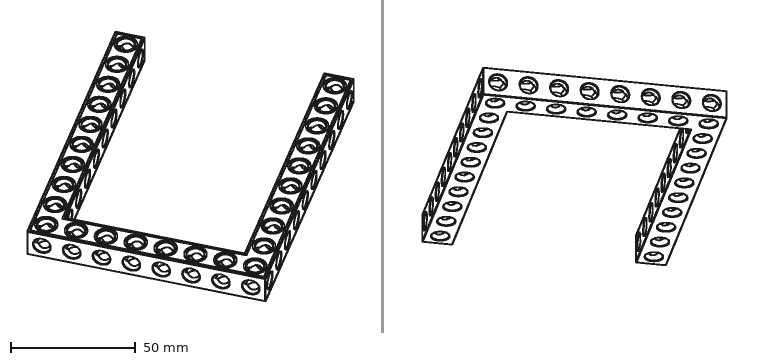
import cadquery as cq

pitch = 12.5
columns = 8
rows = 10
width = columns * pitch
length = rows * pitch
height = pitch
half_pitch = pitch / 2

edge_chamfer = 0.3

hole_diameter = 7.0
mouth_bevel = 0.3
x_axis = (1, 0, 0)
y_axis = (0, 1, 0)
z_axis = (0, 0, 1)

border_width = 1.1
ring_diameter = 9.2
recess_depth = 0.2


def grid_center(index):
    """Coordinate of the hole centre in a grid cell, from the outer corner."""
    return (index + 0.5) * pitch


def hole_cells():
    """Centres of all grid cells in the U: the cross beam and both arms."""
    return [
        (grid_center(column), grid_center(row))
        for row in range(rows)
        for column in range(columns)
        if row == 0 or column in (0, columns - 1)
    ]


def make_u_prism(inset, bottom, thickness):
    """U-shaped prism open towards +Y, its outline moved inwards by inset."""
    inner_x = pitch - inset
    outline = [
        (inset, inset),
        (width - inset, inset),
        (width - inset, length - inset),
        (width - inner_x, length - inset),
        (width - inner_x, inner_x),
        (inner_x, inner_x),
        (inner_x, length - inset),
        (inset, length - inset),
    ]
    return cq.Workplane("XY", origin=(0, 0, bottom)).polyline(outline).close().extrude(thickness)


def chamfer_edges(frame):
    """Chamfer every edge except the two vertical ones in the inner corners."""
    edges = frame.faces("|Z or <X or >X or <Y or >Y").edges()
    return edges.chamfer(edge_chamfer)


def make_recess():
    """Volume removed from the top face between its border and the hole rings."""
    recess_floor = height - recess_depth
    recess = make_u_prism(border_width, recess_floor, recess_depth)
    rings = (
        cq.Workplane("XY", origin=(0, 0, recess_floor))
        .pushPoints(hole_cells())
        .circle(ring_diameter / 2)
        .extrude(recess_depth)
    )
    return recess.cut(rings)


def make_hole(start, direction, depth):
    """Cutter for a through hole from start, with a 45 degree bevel at each mouth."""
    radius = hole_diameter / 2
    mouth_radius = radius + mouth_bevel
    profile = [
        (0, 0),
        (mouth_radius, 0),
        (radius, mouth_bevel),
        (radius, depth - mouth_bevel),
        (mouth_radius, depth),
        (0, depth),
    ]
    cutter = cq.Workplane("XZ").polyline(profile).close().revolve(axisStart=(0, 0), axisEnd=(0, 1))
    return cutter.val().moved(cq.Location(cq.Plane(origin=start, normal=direction)))


def make_holes():
    """Cutters for the vertical holes and for both directions of side holes."""
    cutters = []
    for x, y in hole_cells():
        in_cross_beam = y < pitch
        in_arm = x < pitch or x > width - pitch
        cutters.append(make_hole((x, y, 0), z_axis, height))
        if in_arm and not in_cross_beam:
            cutters.append(make_hole((x - half_pitch, y, half_pitch), x_axis, pitch))
        if in_cross_beam:
            hole_length = length if in_arm else pitch
            cutters.append(make_hole((x, 0, half_pitch), y_axis, hole_length))

    cutters.append(make_hole((0, half_pitch, half_pitch), x_axis, width))
    return cutters


frame = chamfer_edges(make_u_prism(0, 0, height))
frame = frame.cut(make_recess())
result = cq.Workplane(frame.val().cut(*make_holes()))